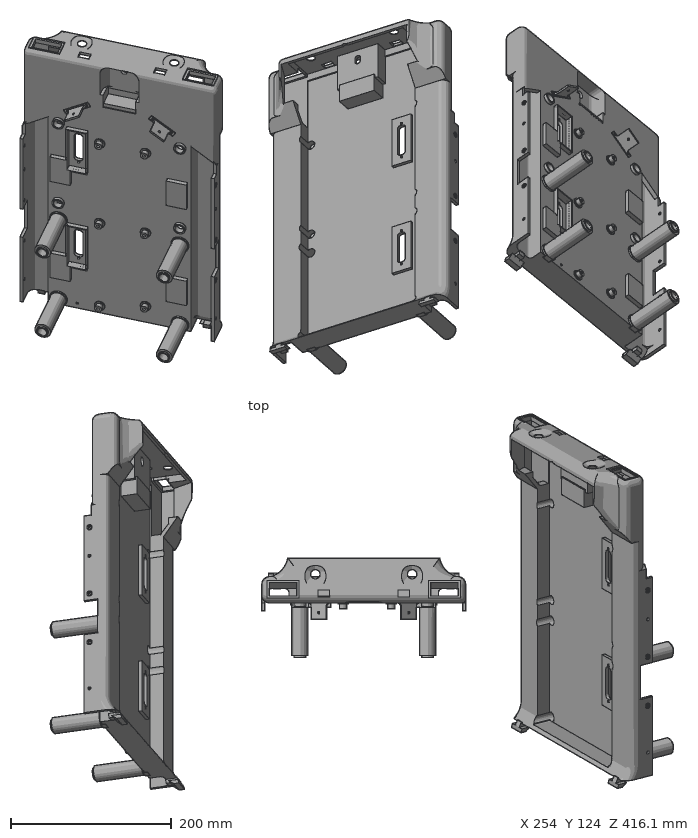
import cadquery as cq
import math

WIDTH = 254.0
HALF = WIDTH / 2
HEIGHT = 406.0
BODY_DEPTH = 22.0
EDGE_R = 10.0
RIGHT_FRONT_R = 5.2
WALL = 4.0
OVER = 20.0

SHELF_DEPTH = 33.0
SHELF_TOP_R = EDGE_R - 0.01
HEAD_DEPTH = 56.0
HEAD_HALF = 94.6
BULGE_HALF = 115.0
BULGE_MID_X = 101.8
BULGE_MID_Y = 41.5
BULGE_HOLLOW_HALF = 105.0
HEAD_BACK_R = 13.5
SLOPE_EDGE_R = 12.0
HEAD_WALL = 8.0
ROOF_WALL = 4.0
BACK_OPENING_TOP = HEIGHT - HEAD_BACK_R
FRONT_WALL = 6.0
SLOPE_LOW_Z = 320.0
SLOPE_HIGH_Z = 365.0
SLOPE = (SLOPE_HIGH_Z - SLOPE_LOW_Z) / (HEAD_DEPTH - BODY_DEPTH)

FLARE_DEPTH = 33.0
FLARE_Z = 19.0
FLARE_MID_Y = 25.6
FLARE_MID_Z = 8.0
FOOT_X = 108.0
FOOT_DROP = 10.11
STEM_WIDTH = 8.75
STEM_DROP = 5.2
FOOT_WIDTH = 21.5
STEM_OUTLINE = [(17.5, 1.0), (32.5, 1.0), (36.0, -STEM_DROP), (18.5, -STEM_DROP)]
FOOT_OUTLINE = [(24.0, -STEM_DROP), (36.0, -STEM_DROP), (37.5, -FOOT_DROP), (30.5, -FOOT_DROP)]

CHANNEL_IN = 93.2
CHANNEL_OUT = HALF - WALL
CHANNEL_BACK = BODY_DEPTH - WALL
CHANNEL_IN_R = 5.0
CHANNEL_OUT_R = 9.5
CHANNEL_END = 328.0
CHANNEL_TOP_IN = 303.5
CHANNEL_TOP_OUT = 283.5
RIB_HALF = 83.0
FLANGE_REACH = 9.6
FLANGE_BACK = BODY_DEPTH - EDGE_R
FLANGE_TOP = 267.0
FLANGE_STEP_TOP = 280.3
FLANGE_STEP_IN = 286.0
NOTCH_LOW = 106.0
NOTCH_HIGH = 152.0
NOTCH_BACK = 8.5
FLANGE_HOLE_Y = -2.5
FLANGE_HOLE_R = 1.9
FLANGE_SINK_R = 3.3
FLANGE_SINK_DEPTH = 1.5
PLAIN_HOLES_Z = (32.2, 211.8)
SUNK_HOLES_Z = (95.0, 161.0, 250.8)
CHANNEL_FLARE_Z = 12.0
MOUTH_MID_Y = 21.5
MOUTH_MID_Z = 4.8

POST_X = 79.4
POST_Z = (9.9, 139.8)
POST_R = 10.3
POST_SHOULDER = 65.5
POST_END = 68.0
POST_TIP_R = 7.5
POST_FOOT_R = 11.5
POST_FOOT_H = 2.3
POST_HOLE_R = 6.0
RING_Z = (167.5, 298.0)
RING_R = 7.5
RING_H = 4.0
RING_HOLE_R = 5.6
SCREW_BOSSES = [(-25.6, 278.2), (34.3, 278.2), (-25.6, 147.7), (34.3, 147.7), (-25.6, 12.0), (34.3, 27.3)]
SCREW_FOOT_R = 6.7
SCREW_FOOT_H = 1.5
SCREW_R = 4.6
SCREW_H = 7.2
SCREW_HOLE_R = 1.8
PIN_HOLE = (-55.0, 8.0)
PIN_HOLE_R = 1.5

ROW_DROP = 157.4
RAISE = 5.4
FRAME_X = -54.7
FRAME_Z = 260.2
FRAME_W = 27.6
FRAME_H = 68.0
FRAME_WALL = 1.5
FRAME_FLOOR = 4.0
FRAME_BACK = 8.5
SLOT_W = 11.3
SLOT_H = 43.0
SLOT_CORNER = 4.0
CONNECTOR_PIN_OFFSET = 24.4
CONNECTOR_PIN_R = 1.5
PAD_X = 75.9
PAD_Z = 223.2
PAD_W = 26.4
PAD_H = 40.0

SCOOP_HALF = 25.4
SCOOP_TOP = HEIGHT - WALL
SCOOP_BOTTOM = 357.5
SCOOP_DEPTH = 19.0
SCOOP_R = 9.7
LATCH_HALF = 21.2
LATCH_TOP = 354.4
LATCH_LEDGE_Z = 343.0
LATCH_BOTTOM = 337.7
LATCH_DEPTH = 21.0
LATCH_LIP = 1.5
KEY_W = 7.9
KEY_H = 11.7
KEY_Z = 388.0

SLOT_TOP_X = 100.5
SLOT_TOP_Y = 17.2
SLOT_RECESS_X = 40.4
SLOT_RECESS_Y = 21.5
SLOT_RECESS_DEPTH = 2.0
SLOT_OPEN_X = 34.0
SLOT_OPEN_Y = 16.5
WINDOW_X = 49.5
WINDOW_Y = 11.8
WINDOW_W = 14.3
WINDOW_D = 9.0
CABLE_X = 60.2
CABLE_Y = 35.8
CABLE_R = 5.7
FUNNEL_Y = 33.4
FUNNEL_RX = 13.2
FUNNEL_RY = 15.0
FUNNEL_DEPTH = 3.0

TAB_X = 55.6
TAB_Z = 326.8
TAB_ANGLE = 33.0
TAB_GROOVE_L = 37.5
TAB_GROOVE_W = 7.0
TAB_GROOVE_DEPTH = 1.0
TAB_W = 22.0
TAB_T = 2.4
TAB_REACH = 20.4
TAB_FLARE = 4.5
TAB_HOLE_Y = 12.0
TAB_HOLE_R = 1.4


def block(x0, x1, y0, y1, z0, z1):
    """Box between two opposite corners."""
    return cq.Workplane("XY").box(x1 - x0, y1 - y0, z1 - z0, centered=False).translate((x0, y0, z0))


def rod(x, z, radius, y0, y1):
    """Cylinder along Y."""
    return cq.Workplane("XZ", origin=(x, y0, z)).circle(radius).extrude(y0 - y1)


def side_profile(points, half):
    """Outline in Y and Z drawn out evenly to both sides of X = 0."""
    return cq.Workplane("YZ").polyline(points).close().extrude(half, both=True)


def box_selector(x0, x1, y0, y1, z0, z1):
    """Selects what has its centre inside the box, with a little margin."""
    return cq.selectors.BoxSelector((x0 - 0.5, y0 - 0.5, z0 - 0.5), (x1 + 0.5, y1 + 0.5, z1 + 0.5))


def mirrored(shape):
    """The shape together with its mirror image across X = 0."""
    return shape.union(shape.mirror("YZ"))


def slope_z(y):
    """Height of the head's sloped underside at depth y."""
    return SLOPE_LOW_Z + SLOPE * (y - BODY_DEPTH)


def flared_body():
    """Main slab, flared toward the back at its bottom edge."""
    profile = (
        cq.Workplane("YZ")
        .moveTo(0, 0)
        .lineTo(FLARE_DEPTH, 0)
        .threePointArc((FLARE_MID_Y, FLARE_MID_Z), (BODY_DEPTH, FLARE_Z))
        .lineTo(BODY_DEPTH, SLOPE_HIGH_Z)
        .lineTo(0, SLOPE_HIGH_Z)
        .close()
    )
    body = profile.extrude(HALF, both=True)
    body = body.edges("|Z and <X and <Y").fillet(EDGE_R)
    body = body.edges("|Z and >X and <Y").fillet(RIGHT_FRONT_R)
    back_edges = box_selector(-HALF, HALF, BODY_DEPTH - 1, FLARE_DEPTH, 1, SLOPE_HIGH_Z - 1)
    side_edges = body.edges(">X or <X").edges(back_edges)
    return side_edges.fillet(EDGE_R)


def head_shelf():
    """Full-width upper part, deeper than the slab, with rounded edges."""
    shelf = block(-HALF, HALF, 0, SHELF_DEPTH, SLOPE_LOW_Z - OVER, HEIGHT)
    shelf = shelf.edges("|Z and (<X or >Y)").fillet(EDGE_R)
    shelf = shelf.edges("|Z and >X and <Y").fillet(RIGHT_FRONT_R)
    shelf = shelf.faces(">Z").edges().fillet(SHELF_TOP_R)
    limit = side_profile(
        [
            (0, HEIGHT),
            (SHELF_DEPTH, HEIGHT),
            (SHELF_DEPTH, slope_z(SHELF_DEPTH)),
            (BODY_DEPTH, SLOPE_LOW_Z),
            (0, SLOPE_LOW_Z),
        ],
        HALF,
    )
    return shelf.intersect(limit)


def head_bulge():
    """Narrower back part of the head with concave sides and a rounded top edge."""
    plan = (
        cq.Workplane("XY", origin=(0, 0, SLOPE_LOW_Z))
        .moveTo(-BULGE_HALF, EDGE_R)
        .lineTo(-BULGE_HALF, SHELF_DEPTH)
        .threePointArc((-BULGE_MID_X, BULGE_MID_Y), (-HEAD_HALF, HEAD_DEPTH))
        .lineTo(HEAD_HALF, HEAD_DEPTH)
        .threePointArc((BULGE_MID_X, BULGE_MID_Y), (BULGE_HALF, SHELF_DEPTH))
        .lineTo(BULGE_HALF, EDGE_R)
        .close()
        .extrude(HEIGHT - SLOPE_LOW_Z)
    )
    limit = side_profile(
        [
            (EDGE_R, HEIGHT),
            (HEAD_DEPTH, HEIGHT),
            (HEAD_DEPTH, SLOPE_HIGH_Z),
            (BODY_DEPTH, SLOPE_LOW_Z),
            (EDGE_R, SLOPE_LOW_Z),
        ],
        HALF,
    )
    bulge = plan.intersect(limit)
    top_edges = box_selector(-HALF, HALF, SHELF_DEPTH + 1, HEAD_DEPTH, HEIGHT, HEIGHT)
    bulge = bulge.edges(top_edges).fillet(HEAD_BACK_R)
    for x0, x1 in ((-HALF, -HEAD_HALF), (HEAD_HALF, HALF)):
        slope_edge = box_selector(x0, x1, SHELF_DEPTH + 1, HEAD_DEPTH - 1, SLOPE_LOW_Z, SLOPE_HIGH_Z)
        bulge = bulge.edges(slope_edge).fillet(SLOPE_EDGE_R)
    return bulge


def inner_cavity():
    """Hollow behind the front panel, open to the back."""
    middle = block(-RIB_HALF, RIB_HALF, WALL, HEAD_DEPTH + OVER, WALL, BACK_OPENING_TOP)
    roof = block(-RIB_HALF, RIB_HALF, FRONT_WALL, HEAD_DEPTH - ROOF_WALL, SLOPE_HIGH_Z, HEIGHT - ROOF_WALL)
    roof = roof.edges("|X and >Y and >Z").fillet(HEAD_BACK_R - ROOF_WALL)
    bulge = (
        cq.Workplane("XY", origin=(0, 0, SLOPE_HIGH_Z - OVER))
        .polyline(
            [
                (-BULGE_HOLLOW_HALF, BODY_DEPTH),
                (BULGE_HOLLOW_HALF, BODY_DEPTH),
                (HEAD_HALF - WALL, HEAD_DEPTH + 1),
                (WALL - HEAD_HALF, HEAD_DEPTH + 1),
            ]
        )
        .close()
        .extrude(BACK_OPENING_TOP - SLOPE_HIGH_Z + OVER)
    )
    inside_y = SHELF_DEPTH - WALL
    inside_low = slope_z(BODY_DEPTH) + WALL
    head = side_profile(
        [
            (FRONT_WALL, HEIGHT - HEAD_WALL),
            (inside_y, HEIGHT - HEAD_WALL),
            (inside_y, slope_z(inside_y) + 2 * WALL),
            (CHANNEL_BACK, inside_low),
            (FRONT_WALL, inside_low),
        ],
        HALF - FRONT_WALL,
    )
    return middle.union(roof).union(bulge).union(head)


def flange():
    """Thin right-hand side flange with a stepped, slanted upper end."""
    side = block(CHANNEL_OUT, HALF, -FLANGE_REACH, FLANGE_BACK, 0, FLANGE_TOP)
    step = (
        cq.Workplane("XZ")
        .polyline([(CHANNEL_OUT, 0), (HALF, 0), (HALF, FLANGE_STEP_TOP), (CHANNEL_OUT, FLANGE_STEP_IN)])
        .close()
        .extrude(-FLANGE_BACK)
    )
    return side.union(step)


def channel():
    """Right-hand channel: open to the front below a slanted edge, closed above it."""
    trough = block(CHANNEL_IN, CHANNEL_OUT, -OVER, CHANNEL_BACK, -OVER, CHANNEL_END)
    trough = trough.edges("|Z and >Y and <X").fillet(CHANNEL_IN_R)
    trough = trough.edges("|Z and >Y and >X").fillet(CHANNEL_OUT_R)
    cover = (
        cq.Workplane("XZ", origin=(0, FRONT_WALL, 0))
        .polyline(
            [
                (CHANNEL_IN, CHANNEL_TOP_IN),
                (CHANNEL_OUT, CHANNEL_TOP_OUT),
                (CHANNEL_OUT, HEIGHT),
                (CHANNEL_IN, HEIGHT),
            ]
        )
        .close()
        .extrude(FRONT_WALL + OVER)
    )
    return trough.cut(cover)


def channel_flare():
    """Widened mouth at the bottom of the right-hand channel."""
    mouth = (
        cq.Workplane("YZ")
        .lineTo(FLARE_DEPTH - WALL, 0)
        .threePointArc((MOUTH_MID_Y, MOUTH_MID_Z), (CHANNEL_BACK, CHANNEL_FLARE_Z))
        .lineTo(0, CHANNEL_FLARE_Z)
        .close()
        .extrude((CHANNEL_OUT - CHANNEL_IN) / 2, both=True)
    )
    return mouth.translate(((CHANNEL_OUT + CHANNEL_IN) / 2, 0, 0))


def flange_cuts():
    """Notch and screw holes in the right-hand flange."""
    cuts = block(CHANNEL_OUT - 1, HALF + 1, -OVER, NOTCH_BACK, NOTCH_LOW, NOTCH_HIGH)
    for z in PLAIN_HOLES_Z + SUNK_HOLES_Z:
        hole = cq.Workplane("YZ", origin=(CHANNEL_OUT - 1, FLANGE_HOLE_Y, z))
        cuts = cuts.union(hole.circle(FLANGE_HOLE_R).extrude(WALL + 2))
    for z in SUNK_HOLES_Z:
        sink = cq.Workplane("YZ", origin=(HALF - FLANGE_SINK_DEPTH, FLANGE_HOLE_Y, z))
        cuts = cuts.union(sink.circle(FLANGE_SINK_R).extrude(FLANGE_SINK_DEPTH + 1))
    return cuts


def foot():
    """Tilted tee-shaped foot below the flare: a narrow stem and a wide pad."""
    stem = side_profile(STEM_OUTLINE, STEM_WIDTH / 2)
    pad_plate = side_profile(FOOT_OUTLINE, FOOT_WIDTH / 2)
    return stem.union(pad_plate).translate((FOOT_X, 0, 0))


def post(z):
    """Right-hand standoff post with a wide foot and a stepped tip."""
    shape = rod(POST_X, z, POST_FOOT_R, WALL, -POST_FOOT_H)
    shape = shape.union(rod(POST_X, z, POST_R, 0, -POST_SHOULDER))
    shape = shape.union(rod(POST_X, z, POST_TIP_R, 0, -POST_END))
    return shape.intersect(block(0, HALF, -POST_END, WALL, z - POST_R, HEIGHT))


def screw_boss(x, z):
    """Screw boss with a wider foot."""
    return rod(x, z, SCREW_FOOT_R, WALL, -SCREW_FOOT_H).union(rod(x, z, SCREW_R, 0, -SCREW_H))


def frame_block(z):
    """Outer block of a connector frame."""
    return block(
        FRAME_X - FRAME_W / 2, FRAME_X + FRAME_W / 2, -RAISE, FRAME_BACK, z - FRAME_H / 2, z + FRAME_H / 2
    )


def frame_cut(z):
    """Recess inside a connector frame with its slot and two screw holes."""
    half_w = FRAME_W / 2 - FRAME_WALL
    half_h = FRAME_H / 2 - FRAME_WALL
    cut = block(FRAME_X - half_w, FRAME_X + half_w, -RAISE - 1, FRAME_FLOOR, z - half_h, z + half_h)
    slot = block(
        FRAME_X - SLOT_W / 2, FRAME_X + SLOT_W / 2, 0, FRAME_BACK + 1, z - SLOT_H / 2, z + SLOT_H / 2
    )
    cut = cut.union(slot.edges("|Y").fillet(SLOT_CORNER))
    for side in (-1, 1):
        cut = cut.union(rod(FRAME_X, z + side * CONNECTOR_PIN_OFFSET, CONNECTOR_PIN_R, 0, FRAME_BACK + 1))
    return cut


def pad(z):
    """Raised rectangular pad on the right-hand side."""
    return block(PAD_X - PAD_W / 2, PAD_X + PAD_W / 2, -RAISE, WALL, z - PAD_H / 2, z + PAD_H / 2)


def recess_backing():
    """Material behind the hanging recess."""
    scoop_back = block(
        -SCOOP_HALF - WALL, SCOOP_HALF + WALL, WALL, SCOOP_DEPTH + WALL, SCOOP_BOTTOM - WALL, SCOOP_TOP
    )
    latch_back = block(
        -LATCH_HALF - WALL, LATCH_HALF + WALL, WALL, LATCH_DEPTH + WALL, LATCH_BOTTOM - WALL, SCOOP_BOTTOM
    )
    return scoop_back.union(latch_back)


def recess_cut():
    """Rounded scoop, the deeper latch pocket below it with a ledge and shallow lip, and the hanging slot."""
    scoop = block(-SCOOP_HALF, SCOOP_HALF, -1, SCOOP_DEPTH, SCOOP_BOTTOM, SCOOP_TOP)
    scoop = scoop.edges("|Z and >Y").fillet(SCOOP_R)
    trim = block(-SCOOP_HALF, SCOOP_HALF, -1, SCOOP_DEPTH, SCOOP_BOTTOM, SCOOP_TOP)
    scoop = scoop.intersect(trim.edges("|Y and >Z").fillet(EDGE_R))
    latch = side_profile(
        [
            (-1, LATCH_BOTTOM),
            (LATCH_LIP, LATCH_BOTTOM),
            (LATCH_LIP, LATCH_LEDGE_Z),
            (LATCH_DEPTH, LATCH_LEDGE_Z),
            (LATCH_DEPTH, LATCH_TOP),
            (SCOOP_DEPTH, LATCH_TOP),
            (SCOOP_DEPTH, SCOOP_BOTTOM),
            (-1, SCOOP_BOTTOM),
        ],
        LATCH_HALF,
    )
    key = cq.Workplane("XZ", origin=(0, 0, KEY_Z)).slot2D(KEY_H, KEY_W, 90).extrude(-HEAD_DEPTH)
    return scoop.union(latch).union(key)


def centred_top_cut(x, y, size_x, size_y, depth):
    """Rectangular cut down from the top face."""
    return block(x - size_x / 2, x + size_x / 2, y - size_y / 2, y + size_y / 2, HEIGHT - depth, HEIGHT + 1)


def top_cuts():
    """Right-hand openings in the top: recessed slot, small window and cable funnel."""
    through = HEAD_WALL + 1
    cuts = centred_top_cut(SLOT_TOP_X, SLOT_TOP_Y, SLOT_RECESS_X, SLOT_RECESS_Y, SLOT_RECESS_DEPTH)
    cuts = cuts.union(centred_top_cut(SLOT_TOP_X, SLOT_TOP_Y, SLOT_OPEN_X, SLOT_OPEN_Y, through))
    cuts = cuts.union(centred_top_cut(WINDOW_X, WINDOW_Y, WINDOW_W, WINDOW_D, through))
    funnel = (
        cq.Workplane("XY", origin=(CABLE_X, FUNNEL_Y, HEIGHT))
        .ellipse(FUNNEL_RX, FUNNEL_RY)
        .workplane(offset=-FUNNEL_DEPTH)
        .center(0, CABLE_Y - FUNNEL_Y)
        .ellipse(CABLE_R, CABLE_R)
        .loft()
    )
    hole = cq.Workplane("XY", origin=(CABLE_X, CABLE_Y, HEIGHT - through)).circle(CABLE_R).extrude(through)
    return cuts.union(funnel).union(hole)


def place_tab(shape):
    """Moves a shape from the tab's own frame to its tilted place on the right."""
    return shape.rotate((0, 0, 0), (0, 1, 0), TAB_ANGLE).translate((TAB_X, 0, TAB_Z))


def cable_tab():
    """Plate standing out from the front with a flared root and a small hole."""
    root = TAB_W / 2 + TAB_FLARE
    bend = TAB_FLARE * (1 - math.sqrt(0.5))
    plate = (
        cq.Workplane("XY")
        .moveTo(-root, WALL)
        .lineTo(-root, 0)
        .threePointArc((-TAB_W / 2 - bend, -bend), (-TAB_W / 2, -TAB_FLARE))
        .lineTo(-TAB_W / 2, -TAB_REACH)
        .lineTo(TAB_W / 2, -TAB_REACH)
        .lineTo(TAB_W / 2, -TAB_FLARE)
        .threePointArc((TAB_W / 2 + bend, -bend), (root, 0))
        .lineTo(root, WALL)
        .close()
        .extrude(TAB_T / 2, both=True)
    )
    hole = cq.Workplane("XY").center(0, -TAB_HOLE_Y).circle(TAB_HOLE_R).extrude(TAB_T, both=True)
    return place_tab(plate.cut(hole))


def tab_groove():
    """Shallow groove around the root of a cable tab."""
    half_l = TAB_GROOVE_L / 2
    half_w = TAB_GROOVE_W / 2
    return place_tab(block(-half_l, half_l, -1, TAB_GROOVE_DEPTH, -half_w, half_w))


frame_rows = (FRAME_Z, FRAME_Z - ROW_DROP)
pad_rows = (PAD_Z, PAD_Z - ROW_DROP)

result = flared_body().union(head_shelf()).union(head_bulge())
result = result.cut(inner_cavity())
result = result.union(mirrored(flange()))
result = result.cut(mirrored(channel())).cut(mirrored(flange_cuts()))
result = result.cut(channel_flare())
result = result.union(mirrored(foot()))

result = result.cut(mirrored(tab_groove())).union(mirrored(cable_tab()))
result = result.union(recess_backing())
for row_z in pad_rows:
    result = result.union(mirrored(pad(row_z)))
for row_z in frame_rows:
    result = result.union(frame_block(row_z)).cut(frame_cut(row_z))
for post_z in POST_Z:
    result = result.union(mirrored(post(post_z)))
    result = result.cut(mirrored(rod(POST_X, post_z, POST_HOLE_R, -POST_END - 1, HEAD_DEPTH)))
for ring_z in RING_Z:
    result = result.union(mirrored(rod(POST_X, ring_z, RING_R, WALL, -RING_H)))
    result = result.cut(mirrored(rod(POST_X, ring_z, RING_HOLE_R, -RING_H - 1, HEAD_DEPTH)))
for boss_x, boss_z in SCREW_BOSSES:
    result = result.union(screw_boss(boss_x, boss_z))
    result = result.cut(rod(boss_x, boss_z, SCREW_HOLE_R, -SCREW_H - 1, 0))

result = result.cut(rod(*PIN_HOLE, PIN_HOLE_R, -1, WALL / 2))
result = result.cut(recess_cut()).cut(mirrored(top_cuts()))